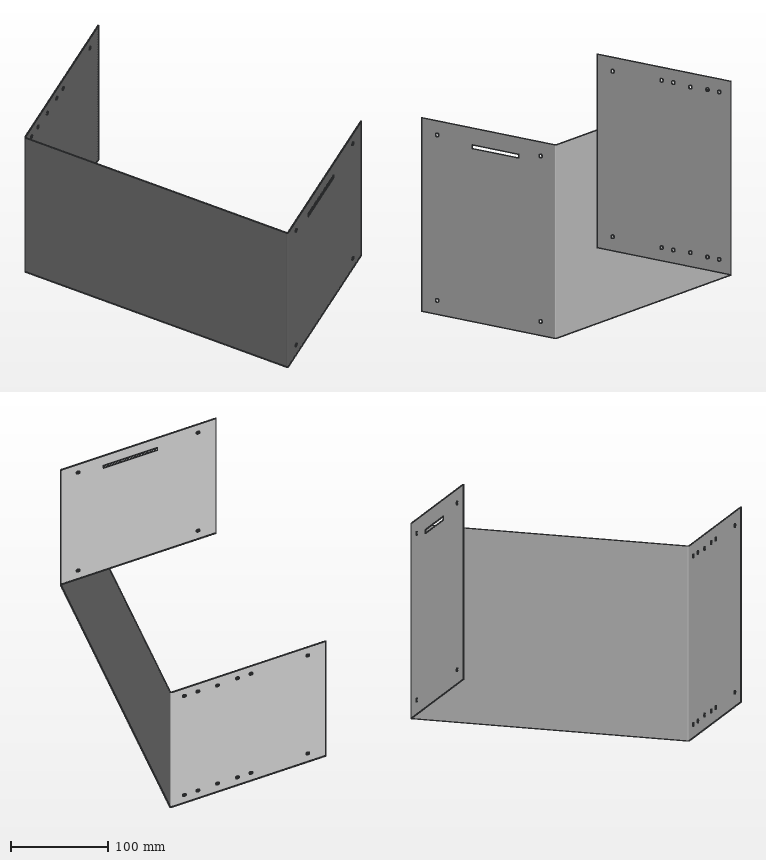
import cadquery as cq

WIDTH = 302.0
DEPTH = 173.0
HEIGHT = 207.0
SHEET = 1.0
BEND_INNER_RADIUS = 0.9
BEND_OUTER_RADIUS = BEND_INNER_RADIUS + SHEET

HOLE_DIAMETER = 4.0
HOLE_INSET = 15.0
CORNER_HOLE_FROM_EDGE = 20.0

GROUP_CENTRE_FROM_BACK = 120.0
GROUP_OFFSETS = (22.0, 37.0)
GROUP_OUTER_INSET = 14.0

SLOT_LENGTH = 60.0
SLOT_WIDTH = 4.0
SLOT_CENTRE_FROM_BACK = 95.0
SLOT_INSET = 20.0


def folded_sheet():
    outer = (
        cq.Workplane("XY")
        .box(WIDTH, DEPTH, HEIGHT, centered=(True, False, True))
        .edges("|Z and <Y")
        .fillet(BEND_OUTER_RADIUS)
    )
    inner = (
        cq.Workplane("XY")
        .box(WIDTH - 2 * SHEET, DEPTH, HEIGHT, centered=(True, False, True))
        .edges("|Z and <Y")
        .fillet(BEND_INNER_RADIUS)
        .translate((0, SHEET, 0))
    )
    return outer.cut(inner)


def wall_plane(side):
    """YZ plane on the outer face of the left (side = -1) or right (side = 1) wall."""
    return cq.Workplane("YZ", origin=(side * WIDTH / 2, 0, 0))


def hole_pair_cutter(side, from_back, inset):
    """Cutter for one hole near the top edge and its mirror near the bottom edge."""
    y = DEPTH - from_back
    z = HEIGHT / 2 - inset
    return (
        wall_plane(side)
        .pushPoints([(y, z), (y, -z)])
        .circle(HOLE_DIAMETER / 2)
        .extrude(2 * SHEET, both=True)
    )


def cut_left_wall_holes(body):
    body = body.cut(hole_pair_cutter(-1, CORNER_HOLE_FROM_EDGE, HOLE_INSET))
    body = body.cut(hole_pair_cutter(-1, GROUP_CENTRE_FROM_BACK, HOLE_INSET))
    for offset in GROUP_OFFSETS:
        for direction in (-1, 1):
            from_back = GROUP_CENTRE_FROM_BACK + direction * offset
            body = body.cut(hole_pair_cutter(-1, from_back, GROUP_OUTER_INSET))
    return body


def cut_right_wall_holes(body):
    for from_back in (CORNER_HOLE_FROM_EDGE, DEPTH - CORNER_HOLE_FROM_EDGE):
        body = body.cut(hole_pair_cutter(1, from_back, HOLE_INSET))
    return body


def cut_right_wall_slot(body):
    slot = (
        wall_plane(1)
        .center(DEPTH - SLOT_CENTRE_FROM_BACK, HEIGHT / 2 - SLOT_INSET)
        .rect(SLOT_LENGTH, SLOT_WIDTH)
        .extrude(2 * SHEET, both=True)
    )
    return body.cut(slot)


result = folded_sheet()
result = cut_left_wall_holes(result)
result = cut_right_wall_holes(result)
result = cut_right_wall_slot(result)